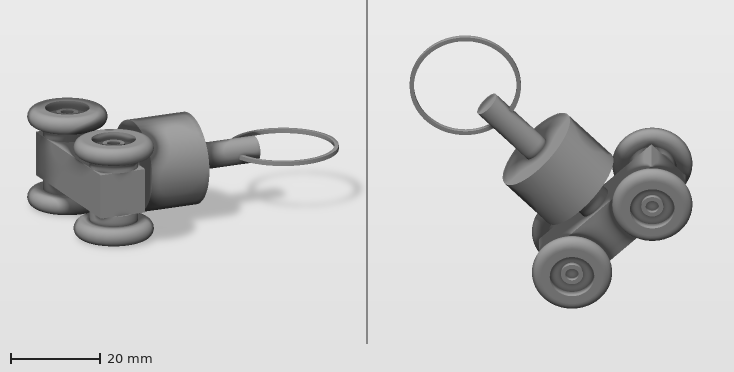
import cadquery as cq

total_height = 23.0
wheel_diameter = 18.0
wheel_thickness = 4.0
wheel_spacing = 25.0
wheel_recess_diameter = 10.0
wheel_recess_depth = 2.0
pin_diameter = 5.0
pin_height = 1.05
pin_hole_diameter = 3.0
hub_diameter = 11.0

block_length = 35.0
block_depth = hub_diameter
block_height = 10.2

neck_diameter = 8.0
neck_length = 5.0
weight_diameter = 21.0
weight_length = 14.1
shaft_diameter = 6.0
shaft_length = 16.0

total_length = 69
ring_outer_diameter = 25.0
ring_width = 1.0
ring_thickness = 1.0

wheel_top = total_height / 2
wheel_bottom = wheel_top - wheel_thickness
neck_start = block_depth / 2
weight_start = neck_start + neck_length
shaft_start = weight_start + weight_length
ring_center_y = total_length - wheel_diameter / 2 - ring_outer_diameter / 2


def cylinder_up(diameter, bottom, height):
    """Cylinder about the Z axis."""
    return cq.Workplane("XY").workplane(offset=bottom).circle(diameter / 2).extrude(height)


def cylinder_along_y(diameter, start, length):
    """Cylinder about the Y axis, growing toward +Y."""
    return cq.Workplane("XZ", origin=(0, start, 0)).circle(diameter / 2).extrude(-length)


def make_wheel():
    """Upper wheel with a fully round rim, a recessed face, a hollow pin and a hub."""
    rim_radius = wheel_thickness / 2
    flat_radius = wheel_diameter / 2 - rim_radius
    disc = (
        cq.Workplane("XZ")
        .moveTo(0, wheel_bottom)
        .lineTo(flat_radius, wheel_bottom)
        .threePointArc((wheel_diameter / 2, wheel_bottom + rim_radius), (flat_radius, wheel_top))
        .lineTo(0, wheel_top)
        .close()
        .revolve(360, (0, 0, 0), (0, 1, 0))
    )
    recess_floor = wheel_top - wheel_recess_depth
    recess = cylinder_up(wheel_recess_diameter, recess_floor, wheel_recess_depth)
    pin = cylinder_up(pin_diameter, recess_floor, pin_height)
    pin_hole = cylinder_up(pin_hole_diameter, recess_floor, pin_height)
    hub_bottom = block_height / 2
    hub = cylinder_up(hub_diameter, hub_bottom, wheel_bottom - hub_bottom)
    return disc.cut(recess).union(pin).cut(pin_hole).union(hub)


def make_ring():
    """Flat key ring lying just below the XY plane, passing through the shaft end."""
    return (
        cq.Workplane("XY", origin=(0, ring_center_y, -ring_thickness))
        .circle(ring_outer_diameter / 2)
        .circle(ring_outer_diameter / 2 - ring_width)
        .extrude(ring_thickness)
    )


result = cq.Workplane("XY").box(block_length, block_depth, block_height)

upper_wheel = make_wheel()
lower_wheel = upper_wheel.mirror("XY")
for side in (-1, 1):
    axle_position = (side * wheel_spacing / 2, 0, 0)
    result = result.union(upper_wheel.translate(axle_position))
    result = result.union(lower_wheel.translate(axle_position))

result = result.union(cylinder_along_y(neck_diameter, neck_start, neck_length))
result = result.union(cylinder_along_y(weight_diameter, weight_start, weight_length))
result = result.union(cylinder_along_y(shaft_diameter, shaft_start, shaft_length))
result = result.union(make_ring())